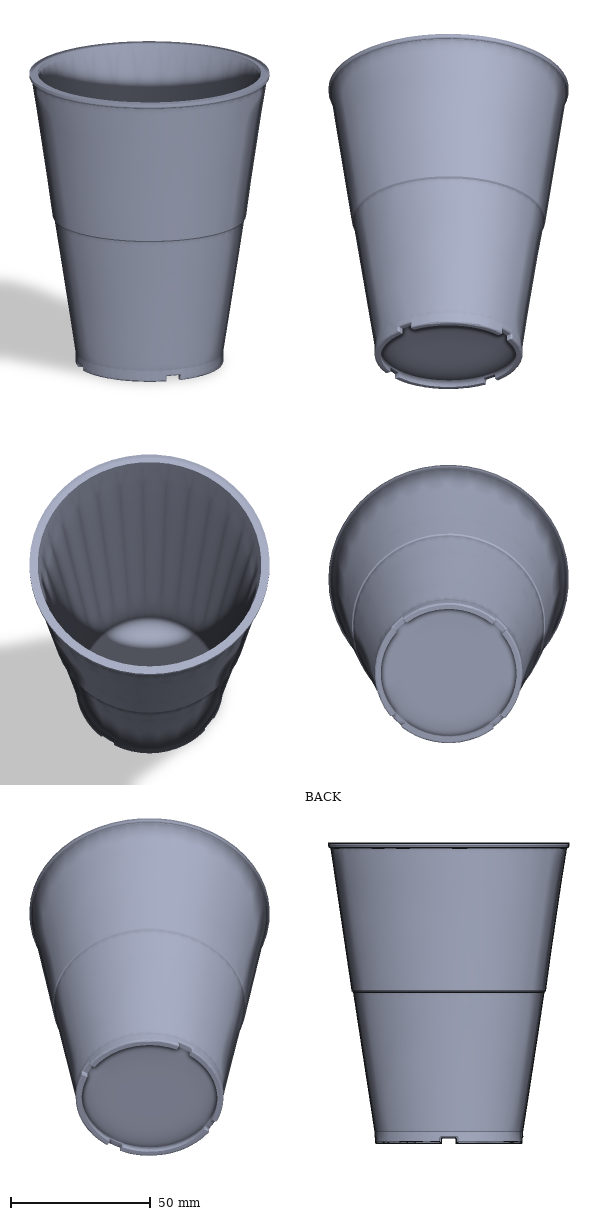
import cadquery as cq
import math

height = 107.5
rim_radius = 43.0
mouth_radius = 40.0

rim_band_height = 1.0
rim_round = 0.6
rim_depth = 2.0
wall_top_radius = 42.1

step_top_height = 54.6
step_top_radius = 34.6
step_size = 0.5
foot_height = 4.3
foot_radius = 26.4

floor_height = 4.8
floor_corner_radius = 24.5
floor_fillet = 1.1
recess_depth = 2.7
recess_radius = 24.3

notch_width = 5.2
notch_height = 1.9
notch_corner_fillet = 0.3
foot_edge_fillet = 0.6


def revolve_about_z(outline):
    """Turn a closed radius-height outline into a solid of revolution."""
    return outline.revolve(360, (0, 0, 0), (0, 1, 0))


def outer_body():
    """Solid outside shape of the cup, without cavity or foot details."""
    band_bottom = height - rim_band_height
    round_inset = rim_round * (1 - math.sqrt(0.5))
    outline = (
        cq.Workplane("XZ")
        .lineTo(0, height)
        .lineTo(rim_radius, height)
        .lineTo(rim_radius, band_bottom)
        .threePointArc(
            (rim_radius - round_inset, band_bottom - rim_round + round_inset),
            (rim_radius - rim_round, band_bottom - rim_round),
        )
        .lineTo(wall_top_radius, height - rim_depth)
        .lineTo(step_top_radius, step_top_height)
        .lineTo(step_top_radius - step_size, step_top_height - step_size)
        .lineTo(foot_radius, foot_height)
        .lineTo(foot_radius, 0)
        .close()
    )
    return revolve_about_z(outline)


def cavity():
    """Tapered inside of the cup, rounded where the wall meets the floor."""
    outline = (
        cq.Workplane("XZ")
        .moveTo(0, floor_height)
        .lineTo(floor_corner_radius, floor_height)
        .lineTo(mouth_radius, height)
        .lineTo(0, height)
        .close()
    )
    return revolve_about_z(outline).faces("<Z").edges().fillet(floor_fillet)


def notch_bar():
    """Bar along X that cuts a pair of opposite notches, with rounded upper corners."""
    bar = cq.Workplane("XY").box(2 * rim_radius, notch_width, 2 * notch_height)
    return bar.edges("|X and >Z").fillet(notch_corner_fillet)


def is_foot_rim_edge(edge):
    """True for edges on the foot's outside that lie along its bottom or around a notch."""
    for position in (0, 0.5, 1):
        point = edge.positionAt(position)
        on_outside = math.isclose(math.hypot(point.x, point.y), foot_radius, abs_tol=0.001)
        if not on_outside or point.z > notch_height + 0.001:
            return False
    return True


body = outer_body()

body = body.cut(cq.Workplane("XY").circle(recess_radius).extrude(recess_depth))

for angle in (0, 90):
    body = body.cut(notch_bar().rotate((0, 0, 0), (0, 0, 1), angle))

body = body.edges().filter(is_foot_rim_edge).fillet(foot_edge_fillet)

result = body.cut(cavity())